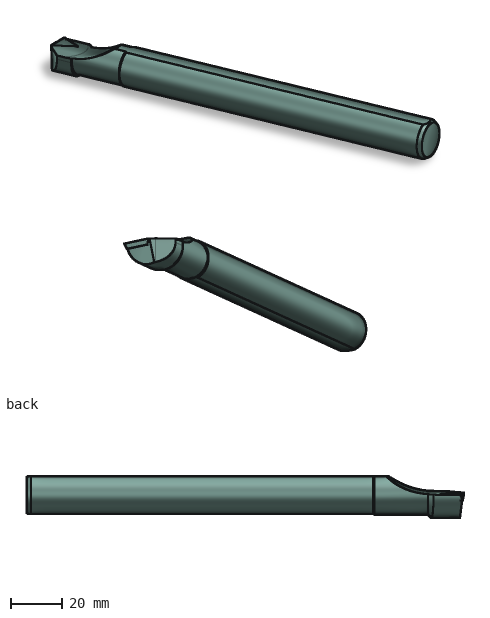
import cadquery as cq
import math

LENGTH = 170.0

SHANK_RADIUS = 8.0
SHANK_START = 35.4
FLAT_DEPTH = 0.6
FLAT_HEIGHT = SHANK_RADIUS - FLAT_DEPTH
END_CHAMFER_LENGTH = 1.7
END_CHAMFER_DEPTH = 1.0

NECK_STEP = 0.25
NECK_RADIUS = SHANK_RADIUS - NECK_STEP
NECK_START = 14.0
SHOULDER_LENGTH = 0.5

HEAD_DIAMETER = 17.8
HEAD_RADIUS = HEAD_DIAMETER / 2
HEAD_OFFSET = HEAD_RADIUS - SHANK_RADIUS
FRONT_X = 0.42
FRONT_RELIEF = 7.0
RELIEF_START = (0.0, 0.2)
RELIEF_END = (1.7, -2.0)
BEVEL_END_X = 7.3

RAKE_ANGLE = 4.8
RAKE_HEIGHT = 0.93
RUNOUT_CENTER = (2.0, 1.0)
RUNOUT_INNER_RADIUS = 12.2
RUNOUT_ARC_RADIUS = 22.5
RUNOUT_SWEEP = 60.0

INSERT_TIP_Y = 10.7
INSERT_SIDE = 10.5
INSERT_THICKNESS = 2.2
INSERT_CLEARANCE = 11.0

BIG = 3 * SHANK_RADIUS


def rod(start, length, radius):
    """Cylinder along the bar axis."""
    return cq.Workplane("YZ", origin=(start, 0, 0)).circle(radius).extrude(length)


def tilt_to_rake(shape):
    """Move a shape built on z = 0 onto the rake face."""
    return shape.rotate((0, 0, 0), (1, 0, 0), -RAKE_ANGLE).translate((0, 0, RAKE_HEIGHT))


def make_shank():
    tail_start = LENGTH - END_CHAMFER_LENGTH
    profile = [
        (SHANK_START - SHOULDER_LENGTH, 0),
        (SHANK_START - SHOULDER_LENGTH, NECK_RADIUS),
        (SHANK_START, SHANK_RADIUS),
        (tail_start, SHANK_RADIUS),
        (LENGTH, SHANK_RADIUS - END_CHAMFER_DEPTH),
        (LENGTH, 0),
    ]
    shank = cq.Workplane("XY").polyline(profile).close().revolve(360, (0, 0, 0), (1, 0, 0))
    bottom_flat = cq.Workplane("XY").box(2 * LENGTH, BIG, BIG, centered=(True, True, False))
    return shank.cut(bottom_flat.translate((0, 0, -FLAT_HEIGHT - BIG)))


def make_head():
    """U-shaped section trimmed by the back cone, front relief and corner bevels."""
    head = (
        cq.Workplane("YZ")
        .moveTo(HEAD_OFFSET - HEAD_RADIUS, HEAD_RADIUS)
        .lineTo(HEAD_OFFSET - HEAD_RADIUS, 0)
        .threePointArc((HEAD_OFFSET, -HEAD_RADIUS), (HEAD_OFFSET + HEAD_RADIUS, 0))
        .lineTo(HEAD_OFFSET + HEAD_RADIUS, HEAD_RADIUS)
        .close()
        .extrude(NECK_START)
    )
    back_cone = (
        cq.Workplane("XY")
        .polyline([(0, 0), (0, NECK_RADIUS + NECK_START), (NECK_START, NECK_RADIUS), (NECK_START, 0)])
        .close()
        .revolve(360, (0, 0, 0), (1, 0, 0))
    )
    front_cut = (
        cq.Workplane("XY")
        .box(BIG, 2 * BIG, 2 * BIG)
        .translate((-BIG / 2, 0, 0))
        .rotate((0, 0, 0), (0, 1, 0), -FRONT_RELIEF)
        .translate((FRONT_X, 0, 0))
    )
    bevel_end = (BEVEL_END_X, HEAD_OFFSET - HEAD_RADIUS)
    corner_cut = (
        cq.Workplane("XY")
        .polyline([RELIEF_START, RELIEF_END, bevel_end, (BEVEL_END_X, -BIG), (-BIG, -BIG),
                   (-BIG, RELIEF_START[1])])
        .close()
        .extrude(BIG, both=True)
    )
    return head.intersect(back_cone).cut(front_cut).cut(corner_cut)


def make_chip_space():
    """Flat-bottomed dish whose rim curves upward, normal to the rake face."""
    sweep = math.radians(RUNOUT_SWEEP)

    def rim_point(angle):
        return (RUNOUT_INNER_RADIUS + RUNOUT_ARC_RADIUS * math.sin(angle),
                RUNOUT_ARC_RADIUS * (1 - math.cos(angle)))

    rim_end = rim_point(sweep)
    dish = (
        cq.Workplane("XZ")
        .lineTo(RUNOUT_INNER_RADIUS, 0)
        .threePointArc(rim_point(sweep / 2), rim_end)
        .lineTo(0, rim_end[1])
        .close()
        .revolve(360, (0, 0, 0), (0, 1, 0))
    )
    dish = dish.rotate((0, 0, 0), (0, 0, 1), 180)
    return tilt_to_rake(dish.translate((*RUNOUT_CENTER, 0)))


def insert_triangle(inset):
    """Corners of the equilateral insert outline, moved inward by inset."""
    side = INSERT_SIDE - 2 * math.sqrt(3) * inset
    center_y = INSERT_TIP_Y - INSERT_SIDE / 2
    return [
        (inset, center_y + side / 2),
        (inset, center_y - side / 2),
        (inset + side * math.sqrt(3) / 2, center_y),
    ]


def make_insert():
    """Equilateral triangle narrowing downward by the clearance angle."""
    bottom_inset = INSERT_THICKNESS * math.tan(math.radians(INSERT_CLEARANCE))
    insert = (
        cq.Workplane("XY", origin=(0, 0, -INSERT_THICKNESS))
        .polyline(insert_triangle(bottom_inset)).close()
        .workplane(offset=INSERT_THICKNESS)
        .polyline(insert_triangle(0)).close()
        .loft(ruled=True)
    )
    return tilt_to_rake(insert)


def make_holder(insert):
    neck = rod(NECK_START, SHANK_START - SHOULDER_LENGTH - NECK_START, NECK_RADIUS)
    top_flat = cq.Workplane("XY").box(2 * LENGTH, BIG, BIG, centered=(True, True, False))
    holder = make_shank().union(neck).union(make_head())
    holder = holder.cut(make_chip_space())
    holder = holder.cut(top_flat.translate((0, 0, FLAT_HEIGHT)))
    return holder.cut(insert)


insert = make_insert()
holder = make_holder(insert)

result = cq.Compound.makeCompound([holder.val(), insert.val()])